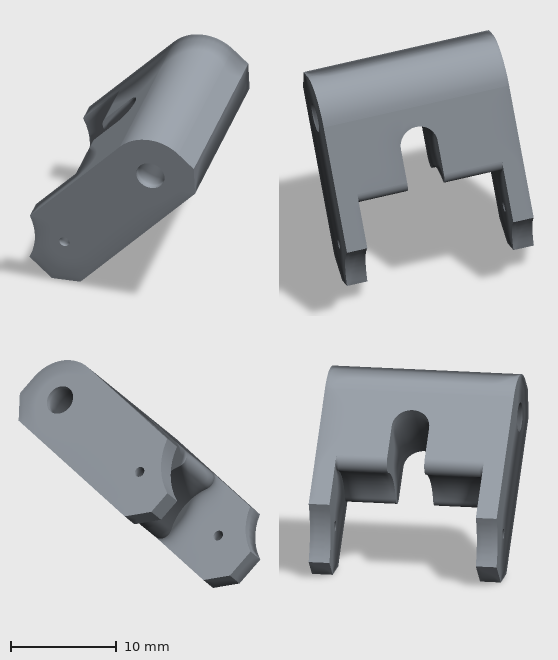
import cadquery as cq
import math

arm_angle = 47.6
width = 18.2
half_depth = 4.08
tail_length = 16.7
corner_chamfer = 2.0
pivot_diameter = 2.8
pin_diameter = 1.0
pin_distance = 12.6

leg_thickness = 2.0
hub_radius = 5.28
web_fillet = 1.0

mate_distance = 8.52
front_scoop_radius = 5.6
rear_scoop_radius = 6.25

slot_width = 3.6
slot_end = -1.95
slot_offset = 0.4

half_width = width / 2
gap_width = width - 2 * leg_thickness
angle = math.radians(arm_angle)


def arm_plane(y):
    """Sketch plane at the given Y whose normal points to -Y."""
    return cq.Plane(origin=(0, y, 0), xDir=(math.cos(angle), 0, math.sin(angle)), normal=(0, -1, 0))


def make_body():
    """Full-width arm with one rounded and two chamfered corners."""
    arc_middle = half_depth * math.sqrt(0.5)
    chamfer_start = half_depth - corner_chamfer
    return (
        cq.Workplane(arm_plane(half_width))
        .moveTo(-tail_length, half_depth)
        .lineTo(0, half_depth)
        .threePointArc((arc_middle, arc_middle), (half_depth, 0))
        .lineTo(half_depth, -chamfer_start)
        .lineTo(chamfer_start, -half_depth)
        .lineTo(-tail_length + corner_chamfer, -half_depth)
        .lineTo(-tail_length, -chamfer_start)
        .close()
        .extrude(width)
    )


def make_leg_gap():
    """Opening between the legs, ending in a hub clearance with rounded web edges."""
    fillet_y = half_depth - web_fillet
    center_distance = hub_radius + web_fillet
    edge_x = -pin_distance + math.sqrt(center_distance**2 - fillet_y**2)
    tangent_x = -pin_distance + (edge_x + pin_distance) * hub_radius / center_distance
    tangent_y = fillet_y * hub_radius / center_distance
    start_angle = math.pi / 2
    end_angle = math.pi + math.atan2(fillet_y, edge_x + pin_distance)
    middle_angle = (start_angle + end_angle) / 2
    middle_x = edge_x + web_fillet * math.cos(middle_angle)
    middle_y = fillet_y + web_fillet * math.sin(middle_angle)
    outside_x = -2 * tail_length
    return (
        cq.Workplane(arm_plane(gap_width / 2))
        .moveTo(outside_x, half_depth)
        .lineTo(edge_x, half_depth)
        .threePointArc((middle_x, middle_y), (tangent_x, tangent_y))
        .threePointArc((hub_radius - pin_distance, 0), (tangent_x, -tangent_y))
        .threePointArc((middle_x, -middle_y), (edge_x, -half_depth))
        .lineTo(outside_x, -half_depth)
        .close()
        .extrude(gap_width)
    )


def make_slot():
    """Round-ended slot cut through the web, open towards the legs."""
    slot_radius = slot_width / 2
    end_center = slot_end - slot_radius
    plane = cq.Plane(
        origin=(0, slot_offset, 0),
        xDir=(math.cos(angle), 0, math.sin(angle)),
        normal=(-math.sin(angle), 0, math.cos(angle)),
    )
    return (
        cq.Workplane(plane)
        .moveTo(-tail_length, slot_radius)
        .lineTo(end_center, slot_radius)
        .threePointArc((slot_end, 0), (end_center, -slot_radius))
        .lineTo(-tail_length, -slot_radius)
        .close()
        .extrude(half_depth, both=True)
    )


def make_hole(distance, diameter):
    """Cross hole through the full width, at a distance down the arm."""
    return cq.Workplane(arm_plane(half_width)).center(-distance, 0).circle(diameter / 2).extrude(width)


def make_scoop(rear_y, radius):
    """Cylinder that hollows the end of one leg, level with the pin holes."""
    center_x = -pin_distance * math.cos(angle) - mate_distance
    center_z = -pin_distance * math.sin(angle)
    return (
        cq.Workplane("XZ", origin=(0, rear_y, 0))
        .center(center_x, center_z)
        .circle(radius)
        .extrude(leg_thickness)
    )


result = (
    make_body()
    .cut(make_leg_gap())
    .cut(make_slot())
    .cut(make_hole(0, pivot_diameter))
    .cut(make_hole(pin_distance, pin_diameter))
    .cut(make_scoop(half_width, rear_scoop_radius))
    .cut(make_scoop(-half_width + leg_thickness, front_scoop_radius))
)